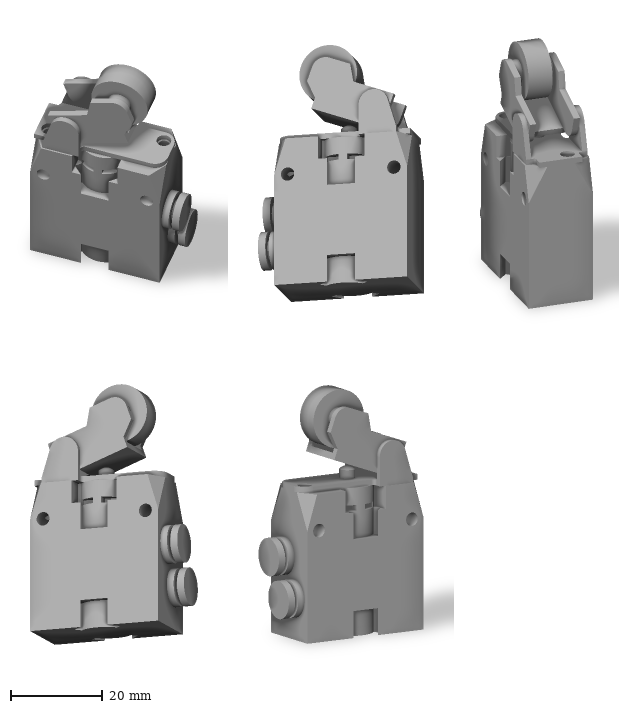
import cadquery as cq
import math


OVERALL_HEIGHT = 54.75

HOUSING_LENGTH = 30.0
HOUSING_WIDTH = 15.0
HOUSING_HEIGHT = 33.0
CORNER_X = 2.5
CORNER_Y = 4.3
CORNER_Z = 8.0

MOUNT_DIAMETER = 3.0
MOUNT_X = 12.0
MOUNT_Z = 24.9

CLIP_X = -0.08
CORE_RADIUS = 5.85
CHANNEL_HALF_DIAGONAL = 5.3
CHANNEL_AXIS_Y = 5.35
LOWER_CHANNEL_TOP = 6
UPPER_CHANNEL_BOTTOM = 21.9
POCKET_WIDTH = 10.5
POCKET_BACK_Y = 3.55
POCKET_BOTTOM = 27.9
NOTCH_INNER_X = 1.0
NOTCH_OUTER_X = 4.0
NOTCH_HEIGHT = 1.25

PLATE_THICKNESS = 1.25
PLATE_WIDTH = 9.95
PLATE_CORNER_RADIUS = 3.0
LUG_OUTER_WIDTH = 14.35
LUG_INNER_WIDTH = 11.9
LUG_LEFT_X = -12.4
LUG_AXIS_X = -7.3
LUG_AXIS_Z = 39.6
LUG_RADIUS = 3.35
NOTCH_FILLET = 0.5
LUG_FILLET = 0.75

SCREW_X = 12.5
SCREW_Y = 2.45
SCREW_CLEARANCE_DIAMETER = 3.25
SCREW_DIAMETER = 2.45
SCREW_DEPTH = 7.1

PLUNGER_DIAMETER = 3.5
PLUNGER_SHOULDER_Z = 36.2
PLUNGER_TOP_Z = 36.95

FITTING_DIAMETER = 8.5
FITTING_NECK_DIAMETER = 5.0
FITTING_LENGTH = 4.0
FITTING_INNER_FLANGE = 1.6
FITTING_NECK_LENGTH = 0.75
FITTING_SPOTS = [(2.0, 9.25), (-2.0, 18.1)]

LEVER_TILT = 20
LEVER_WIDTH = 11.7
LEVER_SHEET = 1.5
ROLLER_DIAMETER = 13.0
ROLLER_WIDTH = 5.6
ROLLER_HUB_DIAMETER = 5.4
ROLLER_X = 4.0
TIP_RADIUS = 3.0
TIP_SIDE_LENGTH = 3.4
ARM_LENGTH = 16.75
ARM_TOP = -0.55
ARM_BOTTOM = -8.9
ARM_STEP_X = -7.05
STEP_ANGLE = 60
EAR_RADIUS = 3.4
WEB_LENGTH = 12.0

PLATE_TOP = HOUSING_HEIGHT + PLATE_THICKNESS
SIDES = (-1, 1)


def block(x_range, y_range, z_range):
    """Box between two limits, in any order, along each axis."""
    (x0, x1), (y0, y1), (z0, z1) = [sorted(r) for r in (x_range, y_range, z_range)]
    return cq.Workplane("XY").box(x1 - x0, y1 - y0, z1 - z0, centered=False).translate((x0, y0, z0))


def make_corner_wedge(side_x, side_y):
    """Sloping block that slices one upper corner of the housing."""
    cut_plane = cq.Plane(
        origin=(side_x * HOUSING_LENGTH / 2, side_y * HOUSING_WIDTH / 2, HOUSING_HEIGHT - CORNER_Z),
        normal=(side_x / CORNER_X, side_y / CORNER_Y, 1 / CORNER_Z),
    )
    return cq.Workplane(cut_plane).rect(HOUSING_HEIGHT, HOUSING_HEIGHT).extrude(HOUSING_WIDTH)


def make_channel(side, bottom_z, top_z):
    """Upright prism on a diamond outline, which opens through one face of the housing."""
    channel_y = side * CHANNEL_AXIS_Y
    return (
        cq.Workplane("XY")
        .workplane(offset=bottom_z)
        .moveTo(CLIP_X - CHANNEL_HALF_DIAGONAL, channel_y)
        .lineTo(CLIP_X, channel_y - CHANNEL_HALF_DIAGONAL)
        .lineTo(CLIP_X + CHANNEL_HALF_DIAGONAL, channel_y)
        .lineTo(CLIP_X, channel_y + CHANNEL_HALF_DIAGONAL)
        .close()
        .extrude(top_z - bottom_z)
    )


def make_clip_recess(side):
    """Diamond channels and upper pocket in one face, left open around the round core."""
    lower_channel = make_channel(side, 0, LOWER_CHANNEL_TOP)
    upper_channel = make_channel(side, UPPER_CHANNEL_BOTTOM, POCKET_BOTTOM)
    depth_range = (side * POCKET_BACK_Y, side * HOUSING_WIDTH / 2)
    pocket = block(
        (CLIP_X - POCKET_WIDTH / 2, CLIP_X + POCKET_WIDTH / 2), depth_range, (POCKET_BOTTOM, HOUSING_HEIGHT)
    )
    core = cq.Workplane("XY").circle(CORE_RADIUS).extrude(HOUSING_HEIGHT)
    recess = lower_channel.union(upper_channel).union(pocket).cut(core)
    for notch_side in SIDES:
        notch_x = (notch_side * NOTCH_INNER_X, notch_side * NOTCH_OUTER_X)
        recess = recess.union(block(notch_x, depth_range, (POCKET_BOTTOM, POCKET_BOTTOM + NOTCH_HEIGHT)))
    return recess


def make_housing():
    housing = cq.Workplane("XY").box(HOUSING_LENGTH, HOUSING_WIDTH, HOUSING_HEIGHT, centered=(True, True, False))
    for side_x in SIDES:
        for side_y in SIDES:
            housing = housing.cut(make_corner_wedge(side_x, side_y))
    for side in SIDES:
        housing = housing.cut(make_clip_recess(side))
    mount_holes = (
        cq.Workplane("XZ")
        .pushPoints([(-MOUNT_X, MOUNT_Z), (MOUNT_X, MOUNT_Z)])
        .circle(MOUNT_DIAMETER / 2)
        .extrude(HOUSING_WIDTH / 2, both=True)
    )
    return housing.cut(mount_holes)


def make_lug(side):
    """Upright lug: a leaning left edge tangent to the round top, and a plumb right edge."""
    right_x = LUG_AXIS_X + LUG_RADIUS
    run = LUG_LEFT_X - LUG_AXIS_X
    drop = PLATE_TOP - LUG_AXIS_Z
    tangent_angle = math.atan2(drop, run) - math.acos(LUG_RADIUS / math.hypot(run, drop))
    tangent_x = LUG_AXIS_X + LUG_RADIUS * math.cos(tangent_angle)
    tangent_z = LUG_AXIS_Z + LUG_RADIUS * math.sin(tangent_angle)
    lug = (
        cq.Workplane("XZ")
        .moveTo(LUG_LEFT_X, HOUSING_HEIGHT)
        .lineTo(LUG_LEFT_X, PLATE_TOP)
        .lineTo(tangent_x, tangent_z)
        .threePointArc((LUG_AXIS_X, LUG_AXIS_Z + LUG_RADIUS), (right_x, LUG_AXIS_Z))
        .lineTo(right_x, HOUSING_HEIGHT)
        .close()
        .extrude((LUG_OUTER_WIDTH - LUG_INNER_WIDTH) / 2)
    )
    front_y = LUG_OUTER_WIDTH / 2 if side > 0 else -LUG_INNER_WIDTH / 2
    return lug.translate((0, front_y, 0))


def make_plate():
    """Cover plate, widened at the lugs, with rounded right corners."""
    half_length = HOUSING_LENGTH / 2
    half_width = PLATE_WIDTH / 2
    lug_right_x = LUG_AXIS_X + LUG_RADIUS
    plate = block((-half_length, half_length), (-half_width, half_width), (HOUSING_HEIGHT, PLATE_TOP))
    plate = plate.edges("|Z and >X").fillet(PLATE_CORNER_RADIUS)
    lug_base = block(
        (LUG_LEFT_X, lug_right_x), (-LUG_OUTER_WIDTH / 2, LUG_OUTER_WIDTH / 2), (HOUSING_HEIGHT, PLATE_TOP)
    )
    plate = plate.union(lug_base)
    for inner_x, radius in ((LUG_LEFT_X, NOTCH_FILLET), (lug_right_x, LUG_FILLET)):
        for side in SIDES:
            inner_corner = cq.selectors.NearestToPointSelector(
                (inner_x, side * half_width, HOUSING_HEIGHT + PLATE_THICKNESS / 2)
            )
            plate = plate.edges("|Z").edges(inner_corner).fillet(radius)
    for side in SIDES:
        plate = plate.union(make_lug(side))
    return plate


def cut_screw_holes(body):
    spots = [(-SCREW_X, -SCREW_Y), (SCREW_X, SCREW_Y)]
    top = cq.Workplane("XY").workplane(offset=PLATE_TOP).pushPoints(spots)
    clearance = top.circle(SCREW_CLEARANCE_DIAMETER / 2).extrude(-PLATE_THICKNESS)
    screw = top.circle(SCREW_DIAMETER / 2).extrude(-PLATE_THICKNESS - SCREW_DEPTH)
    return body.cut(clearance).cut(screw)


def make_plunger():
    """Round pin with a domed end."""
    radius = PLUNGER_DIAMETER / 2
    rise = PLUNGER_TOP_Z - PLUNGER_SHOULDER_Z
    dome_radius = (radius**2 + rise**2) / (2 * rise)
    half_angle = math.asin(radius / dome_radius) / 2
    dome_mid = (
        dome_radius * math.sin(half_angle),
        PLUNGER_TOP_Z - dome_radius * (1 - math.cos(half_angle)),
    )
    return (
        cq.Workplane("XZ")
        .moveTo(0, HOUSING_HEIGHT)
        .lineTo(radius, HOUSING_HEIGHT)
        .lineTo(radius, PLUNGER_SHOULDER_Z)
        .threePointArc(dome_mid, (0, PLUNGER_TOP_Z))
        .close()
        .revolve(360, (0, 0, 0), (0, 1, 0))
    )


def make_fitting(y, z):
    """Grooved round fitting: two flanges joined by a neck."""
    outer_flange = FITTING_LENGTH - FITTING_INNER_FLANGE - FITTING_NECK_LENGTH
    return (
        cq.Workplane("YZ")
        .circle(FITTING_DIAMETER / 2)
        .extrude(FITTING_INNER_FLANGE)
        .faces(">X")
        .workplane()
        .circle(FITTING_NECK_DIAMETER / 2)
        .extrude(FITTING_NECK_LENGTH)
        .faces(">X")
        .workplane()
        .circle(FITTING_DIAMETER / 2)
        .extrude(outer_flange)
        .translate((HOUSING_LENGTH / 2, y, z))
    )


def make_switch_body():
    body = cut_screw_holes(make_housing().union(make_plate()))
    body = body.union(make_plunger())
    for y, z in FITTING_SPOTS:
        body = body.union(make_fitting(y, z))
    return body


def make_lever_side():
    """Side cheek outline in the lever's own frame, with the roller axis at the origin."""
    web_top = ARM_BOTTOM + LEVER_SHEET
    ear_x = EAR_RADIUS - ARM_LENGTH
    ear_z = web_top + EAR_RADIUS
    step_x = ARM_STEP_X + (TIP_RADIUS - ARM_TOP) / math.tan(math.radians(STEP_ANGLE))
    diagonal = math.sqrt(0.5)
    return (
        cq.Workplane("XZ")
        .moveTo(-ARM_LENGTH, ARM_TOP)
        .lineTo(ARM_STEP_X, ARM_TOP)
        .lineTo(step_x, TIP_RADIUS)
        .lineTo(0, TIP_RADIUS)
        .threePointArc((TIP_RADIUS * diagonal, TIP_RADIUS * diagonal), (TIP_RADIUS, 0))
        .lineTo(TIP_RADIUS, -TIP_SIDE_LENGTH)
        .lineTo(0, -TIP_SIDE_LENGTH - TIP_RADIUS)
        .lineTo(0, web_top)
        .lineTo(ear_x, web_top)
        .threePointArc((ear_x - EAR_RADIUS * diagonal, ear_z - EAR_RADIUS * diagonal), (-ARM_LENGTH, ear_z))
        .close()
    )


def make_disc(diameter, width):
    """Cylinder on the roller axis, centred across the lever."""
    return cq.Workplane("XZ").workplane(offset=-width / 2).circle(diameter / 2).extrude(width)


def make_lever():
    """Channel-shaped lever and its roller, tilted and resting against the +Y lug."""
    half_width = LEVER_WIDTH / 2
    inner_half_width = half_width - LEVER_SHEET
    lever = block((-WEB_LENGTH, 0), (-half_width, half_width), (ARM_BOTTOM, ARM_BOTTOM + LEVER_SHEET))
    cheek = make_lever_side().extrude(LEVER_SHEET)
    for front_y in (-inner_half_width, half_width):
        lever = lever.union(cheek.translate((0, front_y, 0)))
    for diameter, width in ((ROLLER_HUB_DIAMETER, 2 * inner_half_width), (ROLLER_DIAMETER, ROLLER_WIDTH)):
        lever = lever.union(make_disc(diameter, width))
    lever_y = (LUG_INNER_WIDTH - LEVER_WIDTH) / 2
    roller_z = OVERALL_HEIGHT - ROLLER_DIAMETER / 2
    return lever.rotate((0, 0, 0), (0, 1, 0), -LEVER_TILT).translate((ROLLER_X, lever_y, roller_z))


switch_body = make_switch_body()
lever = make_lever()

result = cq.Compound.makeCompound([switch_body.solids().val(), lever.solids().val()])